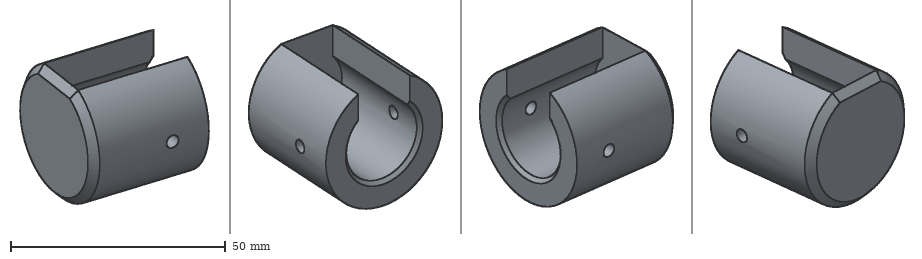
import cadquery as cq
import math

outer_radius = 17.0
length = 32.0
end_chamfer = 2.0

end_wall = 2.0
bore_radius = 10.25
bore_chamfer = 1.0
slot_width = 15.0

pin_hole_diameter = 3.3
pin_hole_from_open_end = 10.0

flat_height = math.sqrt(outer_radius**2 - (slot_width / 2) ** 2)


def make_body():
    """Flat-topped round bar with its closed end chamfered all round, flat included."""
    bar = (
        cq.Workplane("XZ")
        .circle(outer_radius)
        .extrude(-length)
        .faces("<Y")
        .chamfer(end_chamfer)
    )
    side_outline = (
        cq.Workplane("YZ")
        .moveTo(0, -outer_radius)
        .lineTo(length, -outer_radius)
        .lineTo(length, flat_height)
        .lineTo(end_chamfer, flat_height)
        .lineTo(0, flat_height - end_chamfer)
        .close()
        .extrude(outer_radius, both=True)
    )
    return bar.intersect(side_outline)


def make_bore():
    """Blind bore from the open end, with a conical lead-in at its mouth."""
    mouth_radius = bore_radius + bore_chamfer
    return (
        cq.Workplane("YZ")
        .moveTo(end_wall, 0)
        .lineTo(end_wall, -bore_radius)
        .lineTo(length - bore_chamfer, -bore_radius)
        .lineTo(length, -mouth_radius)
        .lineTo(length, 0)
        .close()
        .revolve(360, (0, 0, 0), (1, 0, 0))
    )


def make_slot():
    """Straight slot from the body axis up through the flat, stopping at the end wall."""
    return (
        cq.Workplane("XY")
        .box(slot_width, length - end_wall, outer_radius, centered=(True, False, False))
        .translate((0, end_wall, 0))
    )


def make_pin_hole():
    """Round hole through both side walls."""
    return (
        cq.Workplane("YZ")
        .center(length - pin_hole_from_open_end, 0)
        .circle(pin_hole_diameter / 2)
        .extrude(outer_radius, both=True)
    )


result = make_body().cut(make_bore()).cut(make_slot()).cut(make_pin_hole())